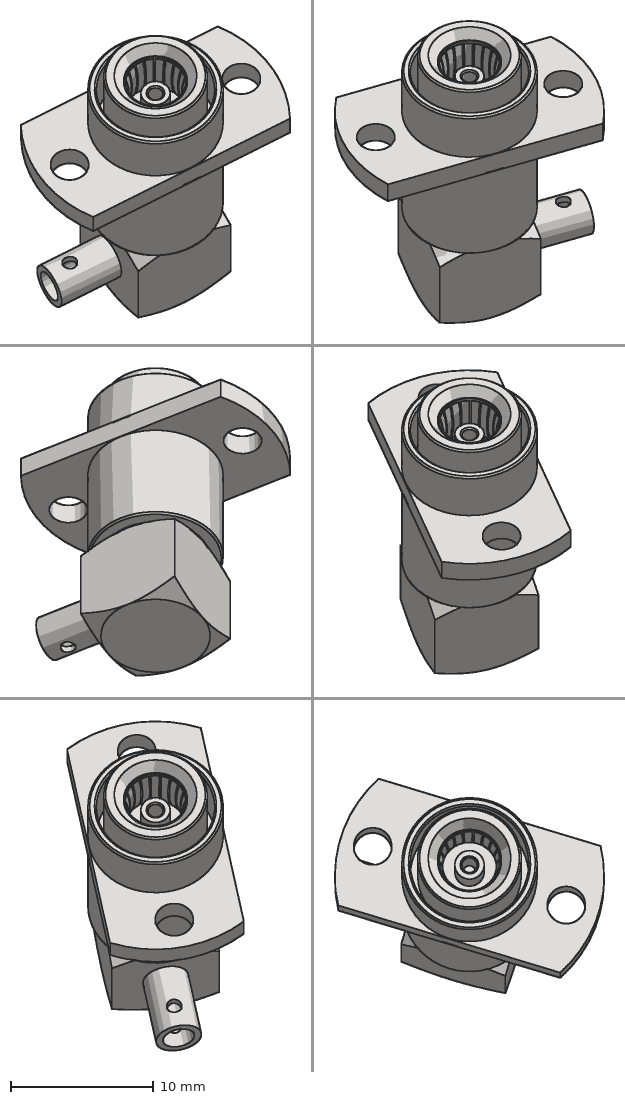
import cadquery as cq
import math

TOTAL_HEIGHT = 22.15
EDGE_CHAMFER = 0.13

BLOCK_WIDTH = 7.69
BLOCK_HEIGHT = 7.25
BEVEL_ANGLE = 30.0
NECK_HEIGHT = 0.09

BODY_DIAMETER = 9.52
BODY_BOTTOM = BLOCK_HEIGHT + NECK_HEIGHT
BODY_TOP = 20.65

FLANGE_WIDTH = 9.6
FLANGE_LENGTH = 18.95
FLANGE_BOTTOM = 15.15
FLANGE_THICKNESS = 1.65
FLANGE_TOP = FLANGE_BOTTOM + FLANGE_THICKNESS
FLANGE_HOLE_DIAMETER = 2.68
FLANGE_HOLE_OFFSET = 7.13

SLEEVE_DIAMETER = 7.29
SHELL_BORE_DIAMETER = 8.33

MOUTH_DIAMETER = 5.8
MOUTH_THROAT_DIAMETER = 4.5
MOUTH_DEPTH = (MOUTH_DIAMETER - MOUTH_THROAT_DIAMETER) / 2
THROAT_HEIGHT = TOTAL_HEIGHT - MOUTH_DEPTH
SOCKET_DIAMETER = 4.32

FINGER_RECESS = 0.22
FINGER_TOP = THROAT_HEIGHT - FINGER_RECESS
FINGER_LENGTH = 3.32
FINGER_END_DIAMETER = 4.25
FINGER_WAIST_DIAMETER = 3.77
FINGER_COUNT = 18
FINGER_GAP = 0.13
SOCKET_FLOOR = FINGER_TOP - FINGER_LENGTH

CONTACT_DIAMETER = 2.05
CONTACT_TOP = 20.13
CONTACT_MOUTH_DIAMETER = 1.28
CONTACT_BORE_TOP_DIAMETER = 1.06
CONTACT_BORE_FLOOR_DIAMETER = 0.89

TUBE_DIAMETER = 3.25
TUBE_BORE_DIAMETER = 2.25
TUBE_END = 8.82
TUBE_HEIGHT = 3.77
SOLDER_HOLE_DIAMETER = 1.06


def cylinder(diameter, bottom, top):
    """Upright cylinder on the Z axis."""
    return cq.Workplane("XY").workplane(offset=bottom).circle(diameter / 2).extrude(top - bottom)


def cone(bottom_diameter, top_diameter, bottom, top):
    """Upright truncated cone on the Z axis."""
    return (
        cq.Workplane("XY")
        .workplane(offset=bottom)
        .circle(bottom_diameter / 2)
        .workplane(offset=top - bottom)
        .circle(top_diameter / 2)
        .loft(ruled=True)
    )


def elbow_block():
    """Square block trimmed by a double-ended cone, like the corners of a nut."""
    block = cq.Workplane("XY").box(BLOCK_WIDTH, BLOCK_WIDTH, BLOCK_HEIGHT, centered=(True, True, False))
    inner_radius = BLOCK_WIDTH / 2
    outer_radius = BLOCK_WIDTH
    bevel_drop = (outer_radius - inner_radius) * math.tan(math.radians(BEVEL_ANGLE))
    envelope = (
        cq.Workplane("XZ")
        .moveTo(0, 0)
        .lineTo(inner_radius, 0)
        .lineTo(outer_radius, bevel_drop)
        .lineTo(outer_radius, BLOCK_HEIGHT - bevel_drop)
        .lineTo(inner_radius, BLOCK_HEIGHT)
        .lineTo(0, BLOCK_HEIGHT)
        .close()
        .revolve(360, (0, 0, 0), (0, 1, 0))
    )
    neck = cylinder(BLOCK_WIDTH, BLOCK_HEIGHT, BODY_BOTTOM)
    return block.intersect(envelope).union(neck)


def body():
    """Round body with its ring groove and the sleeve that rises out of it."""
    shell = cylinder(BODY_DIAMETER, BODY_BOTTOM, BODY_TOP).faces("<Z or >Z").chamfer(EDGE_CHAMFER)
    groove = cylinder(SHELL_BORE_DIAMETER, FLANGE_TOP, BODY_TOP)
    groove_lead_in = cone(
        SHELL_BORE_DIAMETER, SHELL_BORE_DIAMETER + 2 * EDGE_CHAMFER, BODY_TOP - EDGE_CHAMFER, BODY_TOP
    )
    sleeve = cylinder(SLEEVE_DIAMETER, FLANGE_TOP, TOTAL_HEIGHT).faces(">Z").chamfer(EDGE_CHAMFER)
    return shell.cut(groove).cut(groove_lead_in).union(sleeve)


def flange():
    """Plate with flat sides, round ends and two screw holes."""
    disc = cylinder(FLANGE_LENGTH, FLANGE_BOTTOM, FLANGE_TOP)
    sides = (
        cq.Workplane("XY")
        .workplane(offset=FLANGE_BOTTOM)
        .rect(FLANGE_WIDTH, FLANGE_LENGTH)
        .extrude(FLANGE_THICKNESS)
    )
    holes = (
        cq.Workplane("XY")
        .workplane(offset=FLANGE_BOTTOM)
        .pushPoints([(0, -FLANGE_HOLE_OFFSET), (0, FLANGE_HOLE_OFFSET)])
        .circle(FLANGE_HOLE_DIAMETER / 2)
        .extrude(FLANGE_THICKNESS)
    )
    return disc.intersect(sides).cut(holes)


def socket_cavity():
    """Conical mouth, a small ledge and the plain bore below it."""
    mouth = cone(MOUTH_THROAT_DIAMETER, MOUTH_DIAMETER, THROAT_HEIGHT, TOTAL_HEIGHT)
    return mouth.union(cylinder(SOCKET_DIAMETER, SOCKET_FLOOR, THROAT_HEIGHT))


def spring_fingers():
    """Ring whose inner wall bulges inward to a waist at half height, slit into fingers."""
    bore_radius = SOCKET_DIAMETER / 2
    end_radius = FINGER_END_DIAMETER / 2
    waist = (FINGER_WAIST_DIAMETER / 2, SOCKET_FLOOR + FINGER_LENGTH / 2)
    ring = (
        cq.Workplane("XZ")
        .moveTo(bore_radius, SOCKET_FLOOR)
        .lineTo(end_radius, SOCKET_FLOOR)
        .threePointArc(waist, (end_radius, FINGER_TOP))
        .lineTo(bore_radius, FINGER_TOP)
        .close()
        .revolve(360, (0, 0, 0), (0, 1, 0))
    )
    gap_pitch = 360 / FINGER_COUNT
    gaps = (
        cq.Workplane("XY")
        .workplane(offset=SOCKET_FLOOR)
        .polarArray(bore_radius, gap_pitch / 2, 360, FINGER_COUNT)
        .rect(bore_radius, FINGER_GAP)
        .extrude(FINGER_LENGTH)
    )
    return ring.cut(gaps)


def centre_contact():
    """Post with a tapered blind bore and a countersunk mouth."""
    bore_top = CONTACT_TOP - (CONTACT_MOUTH_DIAMETER - CONTACT_BORE_TOP_DIAMETER) / 2
    post = cylinder(CONTACT_DIAMETER, SOCKET_FLOOR, CONTACT_TOP)
    bore = cone(CONTACT_BORE_FLOOR_DIAMETER, CONTACT_BORE_TOP_DIAMETER, SOCKET_FLOOR, bore_top)
    countersink = cone(CONTACT_BORE_TOP_DIAMETER, CONTACT_MOUTH_DIAMETER, bore_top, CONTACT_TOP)
    return post.cut(bore).cut(countersink)


def cable_tube():
    """Tube along -Y, open to the block face, with a cross hole through both walls."""
    length = TUBE_END - BLOCK_WIDTH / 2
    tube = (
        cq.Workplane("XZ", origin=(0, -BLOCK_WIDTH / 2, TUBE_HEIGHT))
        .circle(TUBE_DIAMETER / 2)
        .circle(TUBE_BORE_DIAMETER / 2)
        .extrude(length)
    )
    solder_hole = (
        cq.Workplane("XY", origin=(0, -FLANGE_HOLE_OFFSET, TUBE_HEIGHT))
        .circle(SOLDER_HOLE_DIAMETER / 2)
        .extrude(TUBE_DIAMETER, both=True)
    )
    return tube.cut(solder_hole)


result = elbow_block().union(body()).union(flange())
result = result.cut(socket_cavity()).union(spring_fingers()).union(centre_contact())
result = result.union(cable_tube())